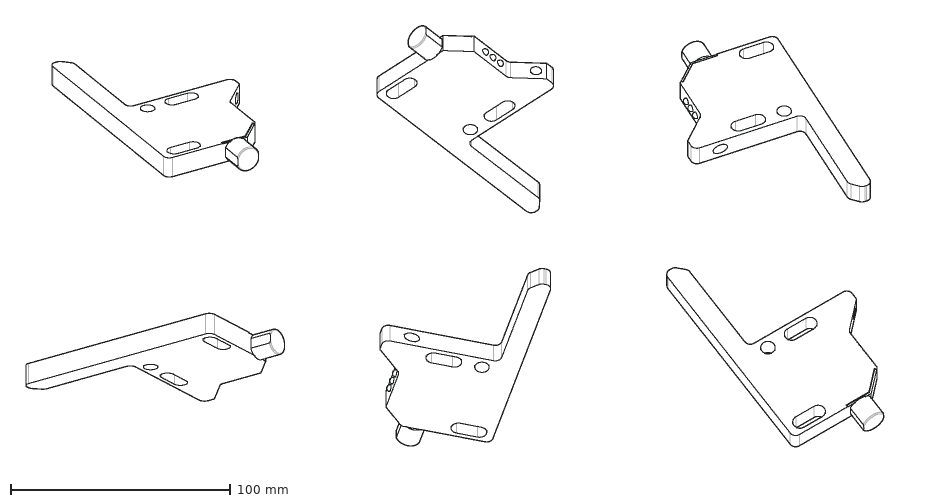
import cadquery as cq
import math

plate_length = 105.95
plate_width = 65.0
plate_thickness = 10.0
half_thickness = plate_thickness / 2
corner_radius = 3.0

arm_length = 54.0
arm_width = 10.0
arm_tip_chamfer = 4.8

shoulder_y = 52.5
nose_width = 6.5
nose_tip_x = arm_length + nose_width
shoulder_x = nose_tip_x + plate_width - shoulder_y
connector_corner_chamfer = 10.0
chamfer_top_x = plate_length - connector_corner_chamfer
chamfer_bottom_y = shoulder_y - connector_corner_chamfer

hole_diameter = 6.6
hole_x = 59.5
hole_y = 17.0
slot_length = 16.6
slot_centres = [(hole_x, 35.0), (100.5, 12.0)]

beam_diameter = 5.1
beam_y = 51.6
beam_length = 40.0

lamp_diameter = 3.2
lamp_count = 3
lamp_pitch = 5.0
first_lamp_x = 78.5

ledge_width = 1.15
ledge_depth = 0.25
ledge_wall_draft = 40.0
ledge_overhang = 1.0
ledge_start = 1.0
ledge_end_y = 29.5

connector_length = 11.0
connector_y = 36.5
connector_diameter = 12.0
connector_across_flats = 11.0
connector_rim_radius = 0.5


def make_outline():
    outline = (
        cq.Workplane("XY")
        .polyline([
            (0, 0),
            (plate_length, 0),
            (plate_length, chamfer_bottom_y),
            (chamfer_top_x, shoulder_y),
            (shoulder_x, shoulder_y),
            (nose_tip_x, plate_width),
            (arm_length, plate_width),
            (arm_length, arm_width),
            (arm_tip_chamfer, arm_width),
            (0, arm_width - arm_tip_chamfer),
        ])
        .close()
        .extrude(half_thickness, both=True)
    )
    rounded_corners = [
        (0, 0),
        (plate_length, 0),
        (shoulder_x, shoulder_y),
        (arm_length, plate_width),
        (arm_length, arm_width),
        (arm_tip_chamfer, arm_width),
        (0, arm_width - arm_tip_chamfer),
    ]
    for x, y in rounded_corners:
        corner = cq.selectors.NearestToPointSelector((x, y, 0))
        outline = outline.edges(corner).fillet(corner_radius)
    return outline


def make_mounting_cutter():
    hole = cq.Workplane("XY").center(hole_x, hole_y).circle(hole_diameter / 2)
    slots = cq.Workplane("XY").pushPoints(slot_centres).slot2D(slot_length, hole_diameter, 90)
    return hole.extrude(half_thickness, both=True).add(slots.extrude(half_thickness, both=True)).combine()


def make_beam_cutter():
    start = cq.Vector(arm_length - beam_diameter, beam_y - beam_diameter, 0)
    return cq.Workplane(cq.Solid.makeCylinder(beam_diameter / 2, beam_length, start, cq.Vector(1, 1, 0)))


def chamfer_point(along, outward):
    diagonal = math.sqrt(0.5)
    return (
        chamfer_top_x + (along + outward) * diagonal,
        shoulder_y + (outward - along) * diagonal,
    )


def make_ledge_cutter():
    bend_shift = math.tan(math.pi / 8)
    outer_x = plate_length + ledge_overhang
    inner_x = plate_length - ledge_width
    return (
        cq.Workplane("XY", origin=(0, 0, half_thickness))
        .polyline([
            chamfer_point(ledge_start, ledge_overhang),
            (outer_x, chamfer_bottom_y + ledge_overhang * bend_shift),
            (outer_x, ledge_end_y),
            (inner_x, ledge_end_y),
            (inner_x, chamfer_bottom_y - ledge_width * bend_shift),
            chamfer_point(ledge_start, -ledge_width),
        ])
        .close()
        .extrude(-ledge_depth, taper=ledge_wall_draft)
    )


def make_plate():
    body = make_outline().cut(make_mounting_cutter()).cut(make_beam_cutter()).cut(make_ledge_cutter())
    for i in range(lamp_count):
        lamp_centre = (first_lamp_x + i * lamp_pitch, shoulder_y, 0)
        body = body.union(cq.Workplane("XY", origin=lamp_centre).sphere(lamp_diameter / 2))
    return body


def make_connector():
    root = cq.Workplane("YZ", origin=(plate_length, connector_y, 0))
    barrel = (
        root.circle(connector_diameter / 2)
        .extrude(connector_length)
        .faces(">X")
        .fillet(connector_rim_radius)
    )
    flats = root.rect(connector_across_flats, connector_diameter).extrude(connector_length)
    return barrel.intersect(flats)


plate = make_plate()
connector = make_connector()
result = cq.Compound.makeCompound([plate.solids().val(), connector.solids().val()])